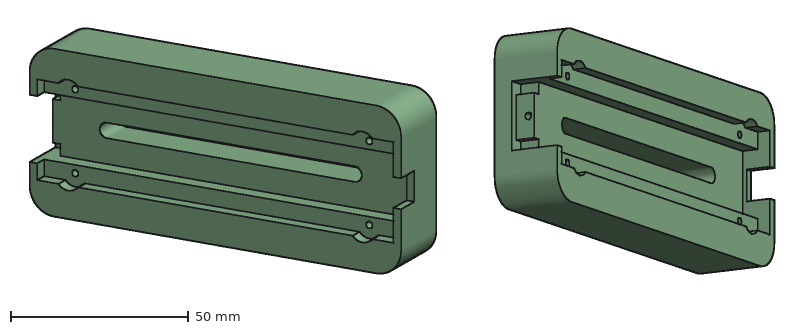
import cadquery as cq

body_length = 120.0
body_height = 50.0
body_depth = 20.6
corner_radius = 8.0

end_wall = 2.5
inner_end = body_length / 2 - end_wall
channel_height = 20.0
channel_depth = 9.0
recess_height = 30.0
ledge_depth = 4.0

pocket_depth = 15.0
pocket_side_length = 5.0
pocket_middle_length = end_wall
pocket_middle_height = 13.0

notch_height = 9.2
notch_depth = 7.7

slot_length = 84.6
slot_width = 4.6

screw_x = 47.5
screw_z = 12.5
screw_diameter = 2.0
screw_hole_depth = 6.0
relief_radius = 4.0

end_hole_diameter = 2.0
end_hole_depth = 5.0
end_hole_y = 11.0


def box_from_face(x_start, x_end, height, depth):
    """Box centred on z = 0, sunk from the open face to the given depth."""
    length = x_end - x_start
    box = cq.Workplane("XY").box(length, depth, height, centered=(False, False, True))
    return box.translate((x_start, 0, 0))


def cylinder_along_y(x, z, radius, y_start, y_end):
    """Cylinder between two depths below the open face."""
    axis = cq.Vector(0, 1, 0)
    return cq.Workplane(cq.Solid.makeCylinder(radius, y_end - y_start, cq.Vector(x, y_start, z), axis))


def make_body():
    body = cq.Workplane("XY").box(body_length, body_depth, body_height, centered=(True, False, True))
    return body.edges("|Y").fillet(corner_radius)


def cut_recess(part):
    """Ledge recess between the end walls and the channel open at the -X end."""
    part = part.cut(box_from_face(-inner_end, inner_end, recess_height, ledge_depth))
    return part.cut(box_from_face(-body_length / 2, inner_end, channel_height, channel_depth))


def cut_connector_pocket(part):
    """Deep pocket with a raised tongue, level with the channel floor, over its middle height."""
    outer_end = -body_length / 2
    side_end = outer_end + pocket_side_length
    middle_end = outer_end + pocket_middle_length
    pocket = box_from_face(outer_end, side_end, channel_height, pocket_depth)
    tongue = box_from_face(middle_end, side_end, pocket_middle_height, pocket_depth)
    tongue = tongue.cut(box_from_face(middle_end, side_end, pocket_middle_height, channel_depth))
    return part.cut(pocket.cut(tongue))


def cut_end_notch(part):
    return part.cut(box_from_face(inner_end, body_length / 2, notch_height, notch_depth))


def cut_floor_slot(part):
    slot = cq.Workplane("XZ").slot2D(slot_length, slot_width).extrude(-body_depth)
    return part.cut(slot)


def cut_screw_holes(part):
    for x in (-screw_x, screw_x):
        for z in (-screw_z, screw_z):
            part = part.cut(cylinder_along_y(x, z, relief_radius, 0, ledge_depth))
            hole_end = ledge_depth + screw_hole_depth
            part = part.cut(cylinder_along_y(x, z, screw_diameter / 2, ledge_depth, hole_end))
    return part


def cut_end_hole(part):
    start = cq.Vector(-body_length / 2 + pocket_middle_length, end_hole_y, 0)
    hole = cq.Solid.makeCylinder(end_hole_diameter / 2, end_hole_depth, start, cq.Vector(1, 0, 0))
    return part.cut(cq.Workplane(hole))


result = make_body()
result = cut_recess(result)
result = cut_connector_pocket(result)
result = cut_end_notch(result)
result = cut_floor_slot(result)
result = cut_screw_holes(result)
result = cut_end_hole(result)